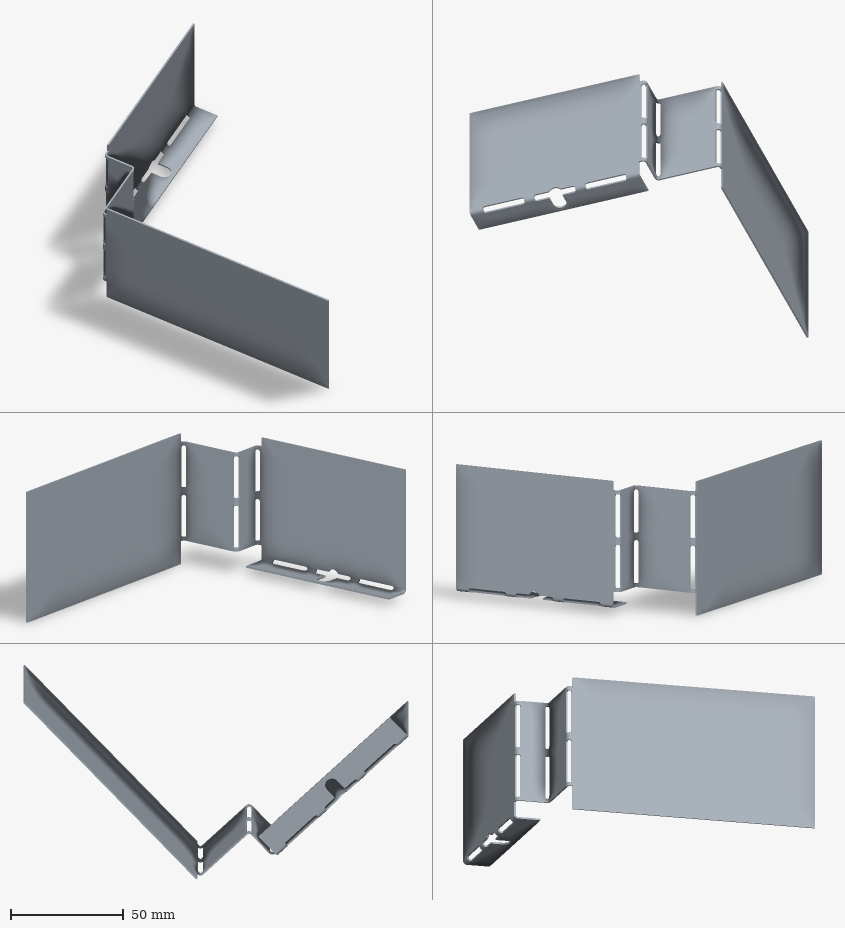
import cadquery as cq

sheet = 0.8
inner_radius = 1.0
outer_radius = inner_radius + sheet

length_x = 129.3
length_y = 112.9
height = 60.5

strip_top = height - 4.1
strip_height = 45.8
step_face_y = 29.7
step_face_x = 15.6
strip_overlap = 1.3

front_panel_start = 17.6
side_panel_start = 33.0
side_panel_bottom = 3.1
flange_reach = 12.3

slot_reach = 2.2
slot_corner_radius = 1.0
strip_slot_length = 19.5
strip_slot_gap = 3.4
flange_slot_length = 19.4
flange_slot_gap = 4.7

notch_radius = 3.1
notch_flange_depth = 10.2
notch_panel_depth = 3.7


def box(x_range, y_range, z_range):
    """Box from the lower and upper limit along each axis."""
    sizes = [upper - lower for lower, upper in (x_range, y_range, z_range)]
    corner = (x_range[0], y_range[0], z_range[0])
    return cq.Workplane("XY").box(*sizes, centered=False).translate(corner)


def round_bend(body, direction, outer, inner):
    """Round a sharp sheet corner, given a point on its outer and inner edge."""
    for point, radius in ((outer, outer_radius), (inner, inner_radius)):
        edge = cq.selectors.NearestToPointSelector(point)
        body = body.edges(direction).edges(edge).fillet(radius)
    return body


def bend_slot(slot_length):
    """Slot cutter along Z, centred on an outer bend corner at the origin.

    Its ends are rounded in both of the walls that meet at the bend.
    """
    width = 2 * slot_reach
    block = cq.Workplane("XY").box(width, width, slot_length)
    rounded_across_x = block.edges("|X").fillet(slot_corner_radius)
    rounded_across_y = block.edges("|Y").fillet(slot_corner_radius)
    return rounded_across_x.intersect(rounded_across_y)


def make_strip():
    """Z-shaped strip with three vertical bends and two slots on each bend."""
    strip_bottom = strip_top - strip_height
    middle = strip_top - strip_height / 2
    outline = [
        (0, side_panel_start + strip_overlap),
        (0, step_face_y),
        (step_face_x - sheet, step_face_y),
        (step_face_x - sheet, 0),
        (front_panel_start + strip_overlap, 0),
        (front_panel_start + strip_overlap, sheet),
        (step_face_x, sheet),
        (step_face_x, step_face_y + sheet),
        (sheet, step_face_y + sheet),
        (sheet, side_panel_start + strip_overlap),
    ]
    strip = cq.Workplane("XY").polyline(outline).close().extrude(strip_height)
    strip = strip.translate((0, 0, strip_bottom))

    bends = [
        (0, step_face_y, 1),
        (step_face_x, step_face_y + sheet, -1),
        (step_face_x - sheet, 0, 1),
    ]
    slot = bend_slot(strip_slot_length)
    slot_offset = (strip_slot_length + strip_slot_gap) / 2
    for x, y, inward in bends:
        inner = (x + inward * sheet, y + inward * sheet, middle)
        strip = round_bend(strip, "|Z", (x, y, middle), inner)
        for z in (middle - slot_offset, middle + slot_offset):
            strip = strip.cut(slot.translate((x, y, z)))
    return strip


def make_front_panel():
    """Large flat panel facing -Y."""
    return box((front_panel_start, length_x), (0, sheet), (0, height))


def make_side_panel():
    """Panel facing -X with a slotted and notched flange along its foot."""
    y_range = (side_panel_start, length_y)
    middle = (side_panel_start + length_y) / 2
    wall = box((0, sheet), y_range, (side_panel_bottom, height))
    flange_z = (side_panel_bottom, side_panel_bottom + sheet)
    panel = wall.union(box((0, flange_reach), y_range, flange_z))
    panel = round_bend(
        panel, "|Y", (0, middle, side_panel_bottom), (sheet, middle, side_panel_bottom + sheet)
    )

    slot = bend_slot(flange_slot_length).rotate((0, 0, 0), (1, 0, 0), 90)
    slot_pitch = flange_slot_length + flange_slot_gap
    for step in (-1, 0, 1):
        panel = panel.cut(slot.translate((0, middle + step * slot_pitch, side_panel_bottom)))

    flange_notch = (
        cq.Workplane("XY", origin=(0, middle, side_panel_bottom))
        .slot2D(2 * notch_flange_depth, 2 * notch_radius)
        .extrude(sheet)
    )
    wall_notch = (
        cq.Workplane("YZ", origin=(0, middle, side_panel_bottom + notch_panel_depth - notch_radius))
        .circle(notch_radius)
        .extrude(sheet)
    )
    return panel.cut(flange_notch).cut(wall_notch)


result = make_strip().union(make_front_panel()).union(make_side_panel())